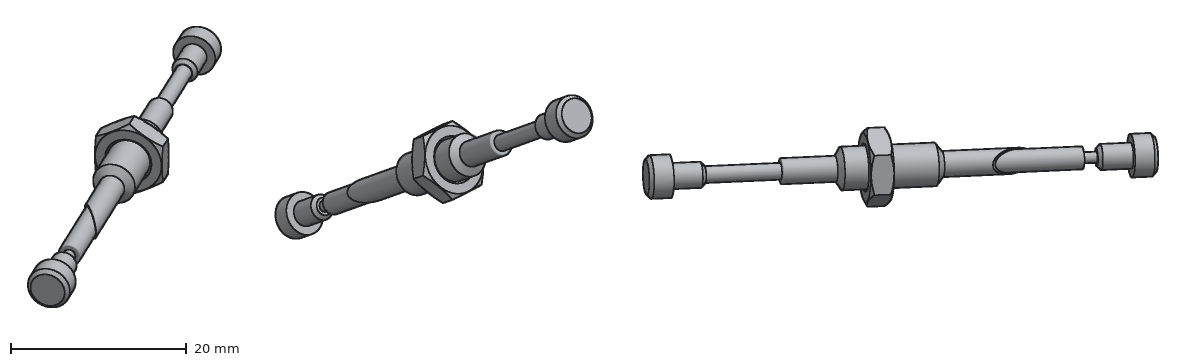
import cadquery as cq
import math


overall_length = 58.9
cap_head_diameter = 5.0
cap_head_length = 2.75
cap_stem_diameter = 3.0
cap_stem_length = 4.0
cap_chamfer = 0.5

thread_diameter = 5.0
thread_top = 7.55
thread_bottom = -4.85
thread_top_chamfer = 0.65
thread_bottom_chamfer = 0.8
sleeve_diameter = 3.0
sleeve_top = 13.9
slant_middle = -13.0
slant_angle = 60.0

nut_sides = 6
nut_width = 8.0
nut_bottom = 1.5
nut_thickness = 2.7
nut_face_diameter = 7.9
nut_chamfer_angle = 30.0
nut_countersink_diameter = 5.55

tube_diameter = 2.65
tube_bottom = -21.1
tube_bore_diameter = 1.4
rod_diameter = 1.95
rod_thin_diameter = 1.3
rod_step = 0.0

end_fillet = 0.2

cap_tip = overall_length / 2 - cap_head_length - cap_stem_length
tube_top = thread_top
nut_corner_diameter = nut_width / math.cos(math.pi / nut_sides)


def revolve_about_y(points):
    """Turn a closed (radius, y) outline about the Y axis."""
    return cq.Workplane("XY").polyline(points).close().revolve(360, (0, 0), (0, 1))


def cylinder_along_y(diameter, start, end):
    """Cylinder on the Y axis, from y = start to y = end."""
    return cq.Workplane("XZ", origin=(0, start, 0)).circle(diameter / 2).extrude(start - end)


def make_cap(direction):
    """Headed cap at the +Y end (direction 1) or the -Y end (direction -1)."""
    head_radius = cap_head_diameter / 2
    stem_radius = cap_stem_diameter / 2
    outer_end = overall_length / 2
    shoulder = outer_end - cap_head_length
    outline = [
        (0, cap_tip),
        (stem_radius - cap_chamfer, cap_tip),
        (stem_radius, cap_tip + cap_chamfer),
        (stem_radius, shoulder),
        (head_radius, shoulder),
        (head_radius, outer_end - cap_chamfer),
        (head_radius - cap_chamfer, outer_end),
        (0, outer_end),
    ]
    return revolve_about_y([(radius, direction * y) for radius, y in outline])


def make_housing():
    """Threaded barrel and guide sleeve, bored for the tube and the rod, and cut on a slant at the -Y end."""
    thread_radius = thread_diameter / 2
    sleeve_radius = sleeve_diameter / 2
    slant_rise = sleeve_radius * math.tan(math.radians(slant_angle))
    barrel = revolve_about_y([
        (0, thread_bottom),
        (sleeve_radius, thread_bottom),
        (thread_radius, thread_bottom + thread_bottom_chamfer),
        (thread_radius, thread_top - thread_top_chamfer),
        (sleeve_radius, thread_top),
        (0, thread_top),
    ])
    sleeve = (
        cq.Workplane("XY")
        .moveTo(-sleeve_radius, sleeve_top)
        .lineTo(sleeve_radius, sleeve_top)
        .lineTo(sleeve_radius, slant_middle - slant_rise)
        .lineTo(-sleeve_radius, slant_middle + slant_rise)
        .close()
        .extrude(sleeve_radius, both=True)
        .intersect(
            cylinder_along_y(sleeve_diameter, slant_middle - slant_rise, sleeve_top)
            .faces(">Y").edges().fillet(end_fillet)
        )
    )
    tube_seat = cylinder_along_y(tube_diameter, slant_middle - slant_rise, tube_top)
    rod_hole = cylinder_along_y(rod_diameter, tube_top, sleeve_top)
    return barrel.union(sleeve).cut(tube_seat).cut(rod_hole)


def make_nut():
    """Hexagon nut with corners chamfered and the hole countersunk at both faces."""
    nut_top = nut_bottom + nut_thickness
    corner_radius = nut_corner_diameter / 2
    face_radius = nut_face_diameter / 2
    hole_radius = thread_diameter / 2
    countersink_radius = nut_countersink_diameter / 2
    countersink_depth = countersink_radius - hole_radius
    corner_drop = (corner_radius - face_radius) * math.tan(math.radians(nut_chamfer_angle))
    turned_blank = revolve_about_y([
        (hole_radius, nut_bottom + countersink_depth),
        (countersink_radius, nut_bottom),
        (face_radius, nut_bottom),
        (corner_radius, nut_bottom + corner_drop),
        (corner_radius, nut_top - corner_drop),
        (face_radius, nut_top),
        (countersink_radius, nut_top),
        (hole_radius, nut_top - countersink_depth),
    ])
    hexagon = (
        cq.Workplane("XZ", origin=(0, nut_bottom, 0))
        .transformed(rotate=(0, 0, 180 / nut_sides))
        .polygon(nut_sides, nut_corner_diameter)
        .extrude(-nut_thickness)
    )
    return hexagon.intersect(turned_blank)


def make_tube():
    """Inner tube, seated in the housing and reaching past its slanted end."""
    tube = cylinder_along_y(tube_diameter, tube_bottom, tube_top).faces("<Y").edges().fillet(end_fillet)
    wide_bore = cylinder_along_y(rod_diameter, rod_step, tube_top)
    narrow_bore = cylinder_along_y(tube_bore_diameter, tube_bottom, rod_step)
    return tube.cut(wide_bore).cut(narrow_bore)


def make_rod():
    """Rod between the two caps, with its thin end leaving the tube towards -Y."""
    thick = cylinder_along_y(rod_diameter, rod_step, cap_tip)
    thin = cylinder_along_y(rod_thin_diameter, -cap_tip, rod_step)
    return thick.union(thin)


caps = [make_cap(direction).val() for direction in (1, -1)]
housing = make_housing()
nut = make_nut()
tube = make_tube()
rod = make_rod()

result = cq.Compound.makeCompound([*caps, housing.val(), nut.val(), tube.val(), rod.val()])